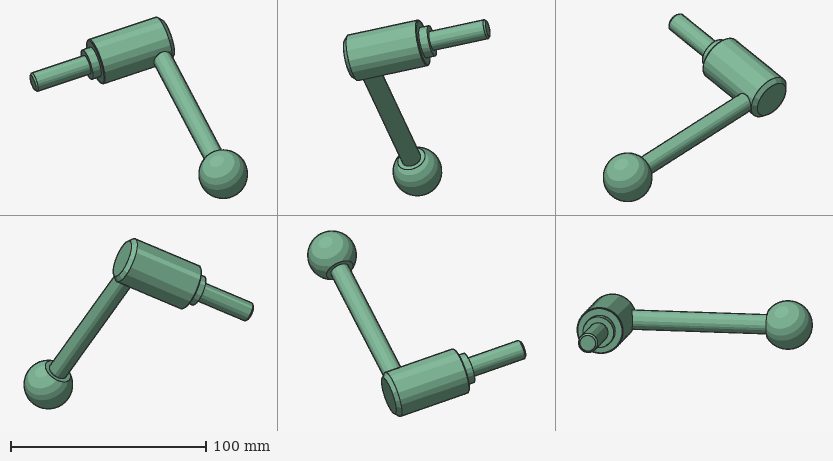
import cadquery as cq
import math

overall_length = 116.5
hub_diameter = 24.0
hub_length = 40.0
hub_back_y = 7.5
hub_back_chamfer = 2.2
hub_front_chamfer = 0.5
collar_diameter = 16.0
collar_length = 4.5
stud_diameter = 10.0
stud_length = 30.0
stud_chamfer = 0.9
lever_diameter = 10.0
ball_diameter = 25.0
ball_flat_offset = 10.1

hub_radius = hub_diameter / 2
ball_radius = ball_diameter / 2
ball_center_x = overall_length - hub_radius - ball_radius
ball_flat_x = ball_center_x - ball_flat_offset
hub_front_y = hub_back_y - hub_length
collar_front_y = hub_front_y - collar_length


def cylinder_toward_front(diameter, length, start_y):
    """Cylinder on the hub axis, running from start_y in -Y."""
    return cq.Workplane("XZ", origin=(0, start_y, 0)).circle(diameter / 2).extrude(length)


def make_hub():
    hub = cylinder_toward_front(hub_diameter, hub_length, hub_back_y)
    hub = hub.faces(">Y").chamfer(hub_back_chamfer)
    return hub.faces("<Y").chamfer(hub_front_chamfer)


def make_stud():
    stud = cylinder_toward_front(stud_diameter, stud_length, collar_front_y)
    return stud.faces("<Y").chamfer(stud_chamfer)


def make_lever():
    return cq.Workplane("YZ").circle(lever_diameter / 2).extrude(ball_center_x)


def make_ball():
    """Ball knob revolved about the lever axis, with a flat where the lever enters."""
    flat_radius = math.sqrt(ball_radius**2 - ball_flat_offset**2)
    return (
        cq.Workplane("XY")
        .moveTo(ball_flat_x, 0)
        .lineTo(ball_flat_x, flat_radius)
        .threePointArc((ball_center_x, ball_radius), (ball_center_x + ball_radius, 0))
        .close()
        .revolve(360, (0, 0, 0), (1, 0, 0))
    )


collar = cylinder_toward_front(collar_diameter, collar_length, hub_front_y)
result = make_hub().union(collar).union(make_stud()).union(make_lever()).union(make_ball())